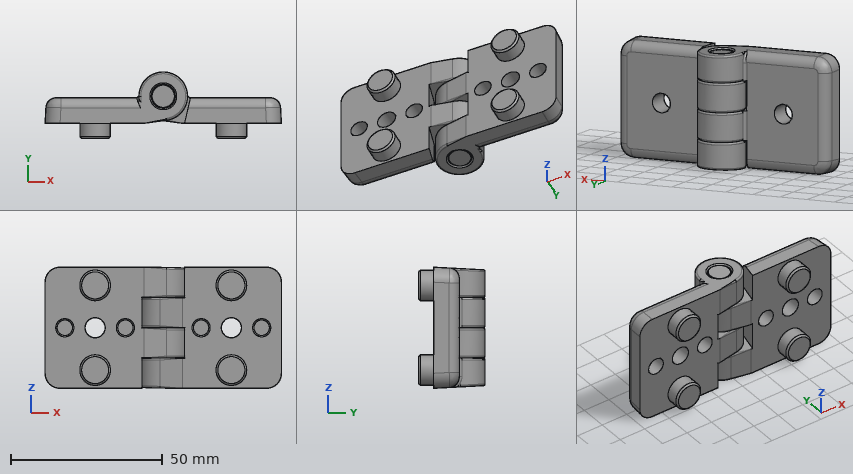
import cadquery as cq
import math


half_length = 39.0
half_height = 20.01
overall_depth = 22.0
plate_thickness = 8.5
draft = math.radians(3)
corner_radius = 5.0
rim_radius = 3.5

stud_diameter = 10.15
stud_height = 5.0
stud_chamfer = 0.6
stud_offset_z = 14.0

barrel_radius = 8.0
pin_axis_y = overall_depth - stud_height - barrel_radius
knuckle_count = 4
knuckle_pitch = 2 * half_height / knuckle_count
knuckle_gap = 0.1
barrel_edge_radius = 0.6
faded_edge_radius = 0.015
web_angle = math.radians(7.7)
root_fillet = 1.0
pocket_half_width = 7.0
pocket_lean = math.radians(13)

pin_radius = 4.0
pin_recess = 0.4
pin_chamfer = 0.3
bore_rim_chamfer = 0.5

pattern_x = 22.5
screw_hole_diameter = 6.55
dowel_hole_diameter = 6.0
dowel_hole_depth = 6.0
dowel_floor_chamfer = 0.5
dowel_spacing = 10.0

overshoot = 3.9

web_tangent_x = barrel_radius * math.sin(web_angle)
web_tangent_y = pin_axis_y - barrel_radius * math.cos(web_angle)
web_start_x = web_tangent_x - web_tangent_y / math.tan(web_angle)

root_y = plate_thickness + root_fillet
root_x = -math.sqrt((barrel_radius + root_fillet) ** 2 - (root_y - pin_axis_y) ** 2)

end_drop_at_pin = pin_axis_y * math.tan(draft)
pin_half_length = half_height - end_drop_at_pin - pin_recess


def prism(points, z_low, z_high):
    """Straight-sided block along Z from an XY outline."""
    return cq.Workplane("XY").workplane(offset=z_low).polyline(points).close().extrude(z_high - z_low)


def draft_envelope():
    """Space between the two drafted end planes, narrowing away from the mounting face."""
    depth = pin_axis_y + barrel_radius + overshoot
    top = half_height - depth * math.tan(draft)
    return (
        cq.Workplane("YZ")
        .polyline([(0, -half_height), (0, half_height), (depth, top), (depth, -top)])
        .close()
        .extrude(half_length, both=True)
    )


def make_plate():
    """Drafted plate with rounded corners and a rounded rim on its three free sides."""
    outer_back_x = -half_length + plate_thickness * math.tan(draft)
    outline = [
        (-half_length, 0),
        (-pocket_half_width, 0),
        (-pocket_half_width, plate_thickness),
        (outer_back_x, plate_thickness),
    ]
    plate = prism(outline, -half_height, half_height).intersect(draft_envelope())
    plate = plate.faces("<X").edges("<Z or >Z").fillet(corner_radius)
    free_back_edges = plate.faces(">Y").edges().filter(
        lambda edge: edge.Center().x < -pocket_half_width - 0.01
    )
    return free_back_edges.fillet(rim_radius)


def pocket_cutter(z_low, z_high):
    """Clearance for one knuckle of the other leaf, with a wall that leans away from the barrel."""
    back_x = -pocket_half_width - (plate_thickness + overshoot) * math.tan(pocket_lean)
    front_x = -pocket_half_width + overshoot * math.tan(pocket_lean)
    outline = [
        (front_x, -overshoot),
        (0, -overshoot),
        (0, plate_thickness + overshoot),
        (back_x, plate_thickness + overshoot),
    ]
    return prism(outline, z_low, z_high)


def make_barrel(z_low, z_high):
    """Cylinder around the pin with rounded end edges."""
    barrel = (
        cq.Workplane("XY")
        .workplane(offset=z_low)
        .center(0, pin_axis_y)
        .circle(barrel_radius)
        .extrude(z_high - z_low)
    )
    barrel = barrel.intersect(draft_envelope())
    return barrel.faces("<Z or >Z").edges().fillet(barrel_edge_radius)


def end_z(y, nominal_z):
    """Height of a knuckle end at depth y: the outermost ends carry the draft."""
    if abs(nominal_z) < half_height:
        return nominal_z
    return math.copysign(half_height - y * math.tan(draft), nominal_z)


def rounding_section(tip, inward, radius):
    """Sharp corner at tip minus its inscribed round: the material a rounding of this radius removes."""
    into_web = cq.Vector(-math.sin(web_angle), math.cos(web_angle), 0) * radius
    along_z = cq.Vector(0, 0, inward) * radius
    arc_middle = tip + (into_web + along_z) * (1 - math.sqrt(0.5))
    return cq.Wire.assembleEdges([
        cq.Edge.makeLine(tip, tip + into_web),
        cq.Edge.makeThreePointArc(tip + into_web, arc_middle, tip + along_z),
        cq.Edge.makeLine(tip + along_z, tip),
    ])


def web_edge_cutter(nominal_z, inward):
    """Rounding of the web underside that fades out from the barrel to the mounting face."""
    at_barrel = cq.Vector(web_tangent_x, web_tangent_y, end_z(web_tangent_y, nominal_z))
    at_face = cq.Vector(web_start_x, 0, end_z(0, nominal_z))
    sections = [
        rounding_section(at_barrel, inward, barrel_edge_radius),
        rounding_section(at_face, inward, faded_edge_radius),
    ]
    return cq.Workplane(cq.Solid.makeLoft(sections, True))


def make_web(z_low, z_high):
    """Block that carries the barrel on the plate."""
    outline = [
        (-barrel_radius, 0),
        (web_start_x, 0),
        (web_tangent_x, web_tangent_y),
        (0, pin_axis_y),
        (-barrel_radius, pin_axis_y),
    ]
    web = prism(outline, z_low, z_high).intersect(draft_envelope())
    web = web.faces("<X").edges("<Z or >Z").fillet(barrel_edge_radius)
    web = web.cut(web_edge_cutter(z_low, 1))
    return web.cut(web_edge_cutter(z_high, -1))


def root_outline(z):
    """Concave corner between the back of the plate and the barrel, drawn at height z."""
    reach = barrel_radius / (barrel_radius + root_fillet)
    barrel_x = root_x * reach
    barrel_y = pin_axis_y + (root_y - pin_axis_y) * reach
    middle_angle = math.atan2(barrel_y - root_y, barrel_x - root_x) / 2 - math.pi / 4
    middle_x = root_x + root_fillet * math.cos(middle_angle)
    middle_y = root_y + root_fillet * math.sin(middle_angle)
    return (
        cq.Workplane("XY")
        .workplane(offset=z)
        .moveTo(root_x, plate_thickness)
        .threePointArc((middle_x, middle_y), (barrel_x, barrel_y))
        .lineTo(-pocket_half_width, pin_axis_y)
        .lineTo(-pocket_half_width, plate_thickness - root_fillet)
        .lineTo(root_x, plate_thickness - root_fillet)
        .close()
    )


def make_root_fillet(z_low, z_high):
    """Concave strip along the foot of a barrel; at the outer end it follows the rim and narrows."""
    rim_y = plate_thickness - rim_radius
    rim_z = half_height - plate_thickness * math.tan(draft) - rim_radius
    if z_high < half_height:
        return root_outline(z_low).extrude(z_high - z_low)
    strip = root_outline(z_low).extrude(rim_z - z_low)
    bend = root_outline(rim_z).revolve(90, (0, rim_y), (1, rim_y))
    narrowing = prism(
        [
            (root_x, plate_thickness),
            (barrel_edge_radius - barrel_radius, rim_y),
            (0, rim_y),
            (0, pin_axis_y + root_fillet),
            (root_x, pin_axis_y + root_fillet),
        ],
        rim_z,
        half_height,
    )
    return strip.union(bend.intersect(narrowing).intersect(draft_envelope()))


def cut_holes(leaf):
    """Through screw hole between two blind dowel holes with chamfered floors."""
    face = cq.Workplane("XZ").center(-pattern_x, 0)
    leaf = leaf.cut(face.circle(screw_hole_diameter / 2).extrude(-plate_thickness))
    dowels = face.pushPoints([(-dowel_spacing, 0), (dowel_spacing, 0)])
    dowel_cutter = dowels.circle(dowel_hole_diameter / 2).extrude(-dowel_hole_depth)
    return leaf.cut(dowel_cutter.faces(">Y").chamfer(dowel_floor_chamfer))


def cut_bore(leaf):
    """Pin bore along the hinge, chamfered where it opens at the outer end."""
    bore = cq.Workplane("XY").center(0, pin_axis_y).circle(pin_radius).extrude(half_height, both=True)
    leaf = leaf.cut(bore)
    rim = leaf.edges(cq.selectors.BoxSelector(
        (-pin_radius, pin_axis_y - pin_radius, pin_half_length),
        (pin_radius, pin_axis_y + pin_radius, half_height),
    ))
    return rim.chamfer(bore_rim_chamfer)


def make_leaf():
    """Left leaf: plate, alternate knuckles starting at the top, pockets for the other knuckles."""
    leaf = make_plate()
    knuckles = []
    for index in range(knuckle_count):
        z_high = half_height - index * knuckle_pitch
        z_low = z_high - knuckle_pitch
        if index % 2 == 0:
            own_high = z_high if index == 0 else z_high - knuckle_gap / 2
            knuckles.append((z_low + knuckle_gap / 2, own_high))
        else:
            open_low = z_low - overshoot if index == knuckle_count - 1 else z_low - knuckle_gap / 2
            leaf = leaf.cut(pocket_cutter(open_low, z_high + knuckle_gap / 2))
    for z_low, z_high in knuckles:
        leaf = leaf.union(make_web(z_low, z_high))
        leaf = leaf.union(make_barrel(z_low, z_high))
        leaf = leaf.union(make_root_fillet(z_low, z_high))
    return cut_bore(cut_holes(leaf))


def make_pin():
    """Hinge pin, slightly sunk below both knuckle ends."""
    pin = cq.Workplane("XY").center(0, pin_axis_y).circle(pin_radius).extrude(pin_half_length, both=True)
    return pin.faces("<Z or >Z").chamfer(pin_chamfer)


def make_stud(x, z):
    """Round stud standing on the mounting face."""
    stud = cq.Workplane("XZ").center(x, z).circle(stud_diameter / 2).extrude(stud_height)
    return stud.faces("<Y").chamfer(stud_chamfer)


left_leaf = make_leaf()
right_leaf = left_leaf.rotate((0, 0, 0), (0, 1, 0), 180)
pin = make_pin()
studs = [
    make_stud(x, z)
    for x in (-pattern_x, pattern_x)
    for z in (-stud_offset_z, stud_offset_z)
]

result = cq.Compound.makeCompound(
    [left_leaf.val(), right_leaf.val(), pin.val(), *[stud.val() for stud in studs]]
)